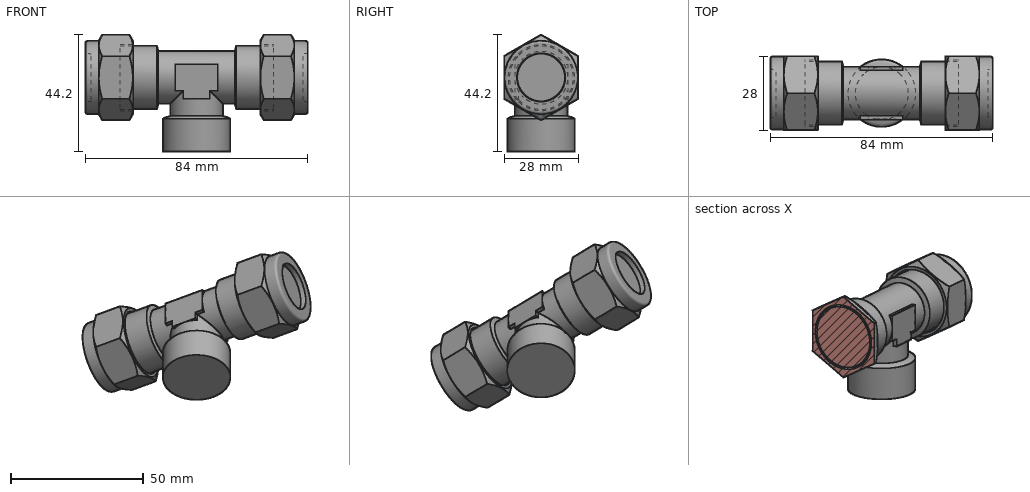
import cadquery as cq
import math

half_length = 42.0
branch_bottom = 28.0

body_radius = 10.0

pad_half_width = 8.0
pad_half_height = 5.0
pad_stem_half_width = 5.0
pad_stem_drop = 8.0

shoulder_radius = 12.0
shoulder_inner_end = 14.95
shoulder_taper_angle = 15.0

hex_across_flats = 28.0
hex_outer_end = 37.05
hex_width = 13.1
hex_face_radius = 13.7
hex_chamfer_angle = 30.0
collar_radius = 13.9
collar_fillet = 1.0

gap_outer_radius = 12.5
gap_depth = 5.0

recess_mouth_radius = 9.15
recess_floor_radius = 9.0
recess_depth = 2.0

socket_radius = 12.8
socket_chamfer_radius = 11.7
socket_wall_top = 15.6
socket_chamfer_angle = 30.0
socket_taper_angle = 15.0


def cone_rise(radial_step, angle):
    """Axial length of a cone face that covers a radial step at an angle from the end plane."""
    return radial_step * math.tan(math.radians(angle))


def revolve_about_x(points):
    """Solid of revolution about X from (x, radius) points."""
    return cq.Workplane("XY").polyline(points).close().revolve(360, (0, 0, 0), (1, 0, 0))


def make_body():
    run = cq.Workplane("YZ").circle(body_radius).extrude(hex_outer_end, both=True)
    branch = cq.Workplane("XY").circle(body_radius).extrude(-branch_bottom)
    return run.union(branch)


def make_pads():
    """T-shaped block whose faces are tangent to the tee body at front and back."""
    bar = cq.Workplane("XY").box(2 * pad_half_width, 2 * body_radius, 2 * pad_half_height)
    stem = (
        cq.Workplane("XY")
        .rect(2 * pad_stem_half_width, 2 * body_radius)
        .extrude(-pad_stem_drop)
    )
    return bar.union(stem)


def make_shoulder():
    taper_end = shoulder_inner_end - cone_rise(shoulder_radius - body_radius, shoulder_taper_angle)
    return revolve_about_x([
        (taper_end, 0),
        (taper_end, body_radius),
        (shoulder_inner_end, shoulder_radius),
        (hex_outer_end, shoulder_radius),
        (hex_outer_end, 0),
    ])


def make_hex():
    """Hexagon with a corner at the top, its corners trimmed by a cone at both ends."""
    corner_radius = hex_across_flats / math.sqrt(3)
    corner_trim = cone_rise(corner_radius - hex_face_radius, hex_chamfer_angle)
    hex_inner_end = hex_outer_end - hex_width
    prism = (
        cq.Workplane("YZ", origin=(hex_inner_end, 0, 0))
        .polygon(6, 2 * corner_radius)
        .extrude(hex_width)
        .rotate((0, 0, 0), (1, 0, 0), 90)
    )
    trimming_envelope = revolve_about_x([
        (hex_inner_end, 0),
        (hex_inner_end, hex_face_radius),
        (hex_inner_end + corner_trim, corner_radius),
        (hex_outer_end - corner_trim, corner_radius),
        (hex_outer_end, hex_face_radius),
        (hex_outer_end, 0),
    ])
    return prism.intersect(trimming_envelope)


def make_collar():
    collar_start = hex_outer_end - hex_width / 2
    collar = (
        cq.Workplane("YZ", origin=(collar_start, 0, 0))
        .circle(collar_radius)
        .extrude(half_length - collar_start)
    )
    return collar.faces(">X").edges().fillet(collar_fillet)


def make_gap():
    """Ring-shaped clearance around the shoulder, open at the inner face of the nut."""
    return (
        cq.Workplane("YZ", origin=(hex_outer_end - hex_width, 0, 0))
        .circle(gap_outer_radius)
        .circle(shoulder_radius)
        .extrude(gap_depth)
    )


def make_recess():
    recess_floor = half_length - recess_depth
    return revolve_about_x([
        (recess_floor, 0),
        (recess_floor, recess_floor_radius),
        (half_length, recess_mouth_radius),
        (half_length, 0),
    ])


def make_run_end():
    """Shoulder and nut at the +X end."""
    solid_end = make_shoulder().union(make_hex()).union(make_collar())
    return solid_end.cut(make_gap()).cut(make_recess())


def make_socket():
    chamfer_top = cone_rise(socket_radius - socket_chamfer_radius, socket_chamfer_angle) - socket_wall_top
    taper_top = chamfer_top + cone_rise(socket_chamfer_radius - body_radius, socket_taper_angle)
    profile = [
        (0, -branch_bottom),
        (socket_radius, -branch_bottom),
        (socket_radius, -socket_wall_top),
        (socket_chamfer_radius, chamfer_top),
        (body_radius, taper_top),
        (0, taper_top),
    ]
    return cq.Workplane("XZ").polyline(profile).close().revolve(360, (0, 0, 0), (0, 1, 0))


run_end = make_run_end()
result = (
    make_body()
    .union(make_pads())
    .union(make_socket())
    .union(run_end)
    .union(run_end.mirror("YZ"))
)